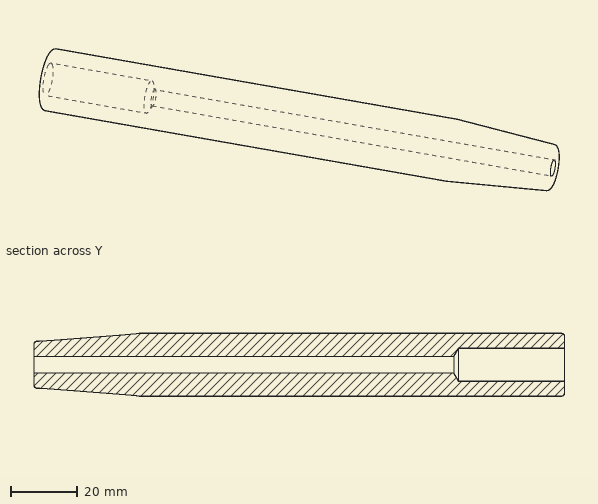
import cadquery as cq
import math

length = 160.0
body_diameter = 19.0
body_length = 128.0
tip_diameter = 14.0
edge_radius = 1.0

bore_diameter = 5.0
entry_diameter = 10.0
entry_depth = 32.0
entry_cone_angle = 120.0

body_radius = body_diameter / 2
tip_radius = tip_diameter / 2
bore_radius = bore_diameter / 2
entry_radius = entry_diameter / 2
start_x = -length / 2
end_x = length / 2
taper_x = start_x + body_length
entry_end_x = start_x + entry_depth
entry_cone_length = (entry_radius - bore_radius) / math.tan(math.radians(entry_cone_angle / 2))


def revolve_about_x(points):
    """Revolve a closed (x, radius) outline around the X axis."""
    return cq.Workplane("XY").polyline(points).close().revolve(360, (0, 0, 0), (1, 0, 0))


def make_body():
    """Cylinder with a tapered nose and rounded end edges."""
    outline = [
        (start_x, 0),
        (start_x, body_radius),
        (taper_x, body_radius),
        (end_x, tip_radius),
        (end_x, 0),
    ]
    return revolve_about_x(outline).faces("<X or >X").edges().fillet(edge_radius)


def make_bore():
    """Through bore with a wide entry that ends in a conical floor."""
    outline = [
        (start_x, 0),
        (start_x, entry_radius),
        (entry_end_x, entry_radius),
        (entry_end_x + entry_cone_length, bore_radius),
        (end_x, bore_radius),
        (end_x, 0),
    ]
    return revolve_about_x(outline)


result = make_body().cut(make_bore())